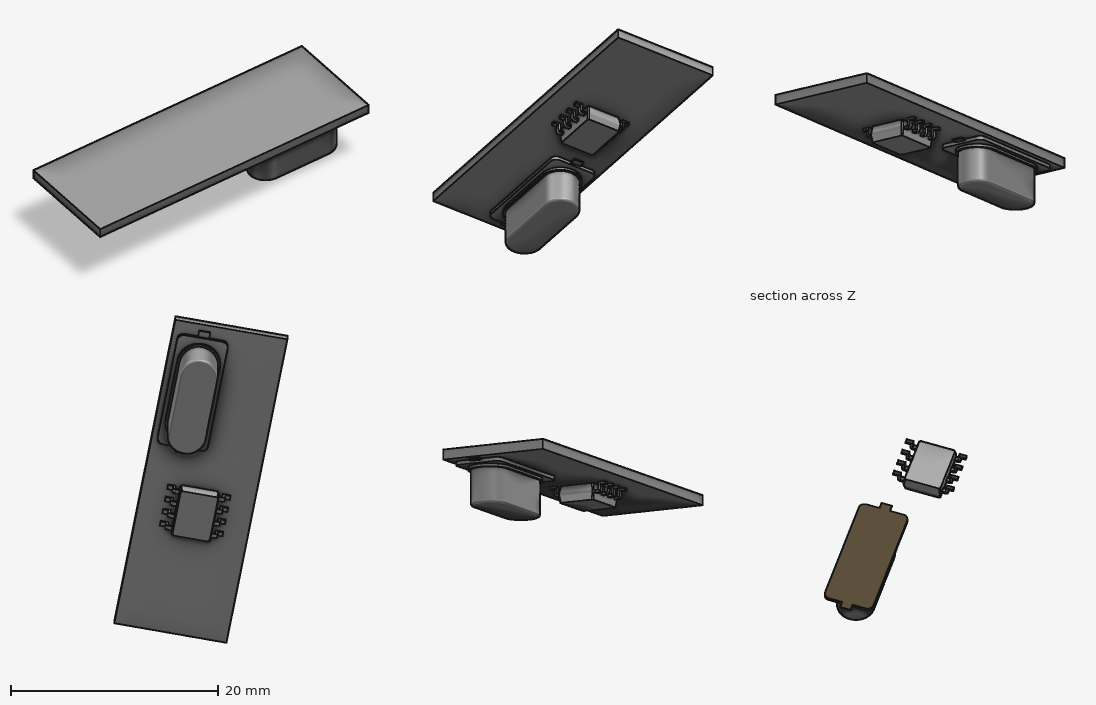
import cadquery as cq

BOARD_WIDTH = 11.0
BOARD_LENGTH = 32.0
BOARD_THICKNESS = 1.0
TOTAL_HEIGHT = 5.2

CRYSTAL_X = 2.5
CRYSTAL_Y = 9.0
CRYSTAL_HEIGHT = TOTAL_HEIGHT - BOARD_THICKNESS
BASE_WIDTH = 4.95
BASE_LENGTH = 11.5
BASE_THICKNESS = 0.4
BASE_CORNER_RADIUS = 0.6
CAN_WIDTH = 3.7
CAN_LENGTH = 9.92
CAN_EDGE_RADIUS = 0.3
RIM_OVERHANG = 0.22
RIM_THICKNESS = 0.3
TERMINAL_WIDTH = 1.1
TERMINAL_SPAN = 12.75
TERMINAL_THICKNESS = 0.145

CHIP_Y = -3.0
CHIP_WIDTH = 3.87
CHIP_LENGTH = 4.9
CHIP_STANDOFF = 0.1
CHIP_BOTTOM_DEPTH = 1.73
CHIP_TAPER = 0.112
CHIP_CORNER_CHAMFER = 0.13
WAIST_HEIGHT = 0.3
LEADS_PER_SIDE = 4
LEAD_PITCH = 1.28
LEAD_WIDTH = 0.4
LEAD_THICKNESS = 0.24
LEAD_SPAN = 6.15
LEG_SPAN = 5.12
LEAD_BEND_RADIUS = 0.305


def make_board():
    return cq.Workplane("XY").box(
        BOARD_WIDTH, BOARD_LENGTH, BOARD_THICKNESS, centered=(True, True, False)
    )


def make_plate(width, length, top, bottom):
    """Rectangular plate between two heights, centred in plan."""
    return (
        cq.Workplane("XY", origin=(0, 0, bottom))
        .box(width, length, top - bottom, centered=(True, True, False))
    )


def make_round_ended_block(width, length, top, bottom):
    """Block with half-round ends along Y between two heights."""
    return (
        cq.Workplane("XY", origin=(0, 0, bottom))
        .slot2D(length, width, angle=90)
        .extrude(top - bottom)
    )


def make_crystal():
    rim_bottom = -BASE_THICKNESS - RIM_THICKNESS
    base = make_plate(BASE_WIDTH, BASE_LENGTH, 0, -BASE_THICKNESS)
    base = base.edges("|Z").fillet(BASE_CORNER_RADIUS)
    terminals = make_plate(TERMINAL_WIDTH, TERMINAL_SPAN, 0, -TERMINAL_THICKNESS)
    rim = make_round_ended_block(
        CAN_WIDTH + 2 * RIM_OVERHANG, CAN_LENGTH + 2 * RIM_OVERHANG, -BASE_THICKNESS, rim_bottom
    )
    can = make_round_ended_block(CAN_WIDTH, CAN_LENGTH, rim_bottom, -CRYSTAL_HEIGHT)
    can = can.faces("<Z").edges().fillet(CAN_EDGE_RADIUS)
    crystal = base.union(terminals).union(rim).union(can)
    return crystal.translate((CRYSTAL_X, CRYSTAL_Y, 0))


def chip_outline(width, length, height):
    """Rectangle with cut corners at the given height."""
    return (
        cq.Sketch().rect(width, length).vertices().chamfer(CHIP_CORNER_CHAMFER)
        .moved(cq.Location(cq.Vector(0, 0, height)))
    )


def make_chip_half(waist_edge, end_face):
    """Half of the moulding, tapering from the waist to one end face."""
    return (
        cq.Workplane("XY")
        .placeSketch(
            chip_outline(CHIP_WIDTH, CHIP_LENGTH, waist_edge),
            chip_outline(CHIP_WIDTH - 2 * CHIP_TAPER, CHIP_LENGTH - 2 * CHIP_TAPER, end_face),
        )
        .loft()
    )


def make_lead(waist_middle):
    """Bent lead on the +X side, centred on Y = 0."""
    foot_end = LEAD_SPAN / 2
    leg_outside = LEG_SPAN / 2
    leg_inside = leg_outside - LEAD_THICKNESS
    arm_bottom = waist_middle - LEAD_THICKNESS / 2
    arm_top = waist_middle + LEAD_THICKNESS / 2
    return (
        cq.Workplane("XZ", origin=(0, LEAD_WIDTH / 2, 0))
        .moveTo(0, arm_bottom)
        .lineTo(leg_outside - LEAD_BEND_RADIUS, arm_bottom)
        .radiusArc((leg_outside, arm_bottom + LEAD_BEND_RADIUS), -LEAD_BEND_RADIUS)
        .lineTo(leg_outside, -LEAD_THICKNESS)
        .lineTo(foot_end, -LEAD_THICKNESS)
        .lineTo(foot_end, 0)
        .lineTo(leg_inside, 0)
        .lineTo(leg_inside, arm_top)
        .lineTo(0, arm_top)
        .close()
        .extrude(LEAD_WIDTH)
    )


def make_chip():
    waist_middle = -(CHIP_STANDOFF + CHIP_BOTTOM_DEPTH) / 2
    waist_top = waist_middle + WAIST_HEIGHT / 2
    waist_bottom = waist_middle - WAIST_HEIGHT / 2
    waist = (
        cq.Workplane("XY")
        .placeSketch(chip_outline(CHIP_WIDTH, CHIP_LENGTH, waist_bottom))
        .extrude(WAIST_HEIGHT)
    )
    chip = waist.union(make_chip_half(waist_top, -CHIP_STANDOFF))
    chip = chip.union(make_chip_half(waist_bottom, -CHIP_BOTTOM_DEPTH))

    lead = make_lead(waist_middle)
    for index in range(LEADS_PER_SIDE):
        lead_y = (index - (LEADS_PER_SIDE - 1) / 2) * LEAD_PITCH
        right_lead = lead.translate((0, lead_y, 0))
        chip = chip.union(right_lead).union(right_lead.mirror("YZ"))
    return chip.translate((0, CHIP_Y, 0))


board = make_board()
crystal = make_crystal()
chip = make_chip()

result = cq.Compound.makeCompound([board.val(), crystal.val(), chip.val()])